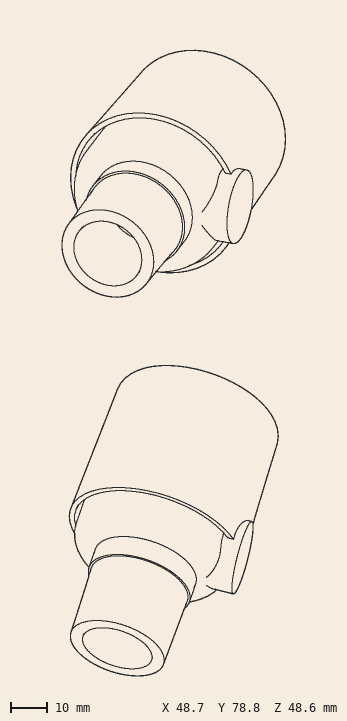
import cadquery as cq

total_length = 78.75

spigot_end_radius = 13.3
spigot_root_radius = 13.8
spigot_length = 20.95
collar_radius = 28.8 / 2
bore_diameter = 19.7

body_start = 26.85
body_radius = 21.6
body_round = 5.9

cap_mouth = 36.15
cap_mouth_radius = 24.3
cap_wall = 1.5
cap_top_radius = 22.9
cap_round = 3.15
cap_taper_end = total_length - cap_round

port_diameter = 20.3
port_reach = 24.4
port_start = body_radius - body_round
port_center_y = body_start + port_diameter / 2


def revolve_about_y(profile):
    return profile.close().revolve(360, (0, 0, 0), (0, 1, 0))


def make_spigot():
    return revolve_about_y(
        cq.Workplane("XY")
        .lineTo(spigot_end_radius, 0)
        .lineTo(spigot_root_radius, spigot_length)
        .lineTo(collar_radius, spigot_length)
        .lineTo(collar_radius, body_start)
        .lineTo(0, body_start)
    )


def make_body_and_cap():
    return revolve_about_y(
        cq.Workplane("XY")
        .moveTo(0, body_start)
        .lineTo(body_radius - body_round, body_start)
        .radiusArc((body_radius, body_start + body_round), -body_round)
        .lineTo(body_radius, cap_taper_end)
        .lineTo(cap_mouth_radius - cap_wall, cap_mouth)
        .lineTo(cap_mouth_radius, cap_mouth)
        .lineTo(cap_top_radius, cap_taper_end)
        .radiusArc((cap_top_radius - cap_round, total_length), -cap_round)
        .lineTo(0, total_length)
    )


def make_port():
    return (
        cq.Workplane("YZ", origin=(port_start, port_center_y, 0))
        .circle(port_diameter / 2)
        .extrude(port_reach - port_start)
    )


def make_bore():
    return cq.Workplane("XZ").circle(bore_diameter / 2).extrude(-body_start)


result = make_body_and_cap().union(make_spigot()).union(make_port()).cut(make_bore())